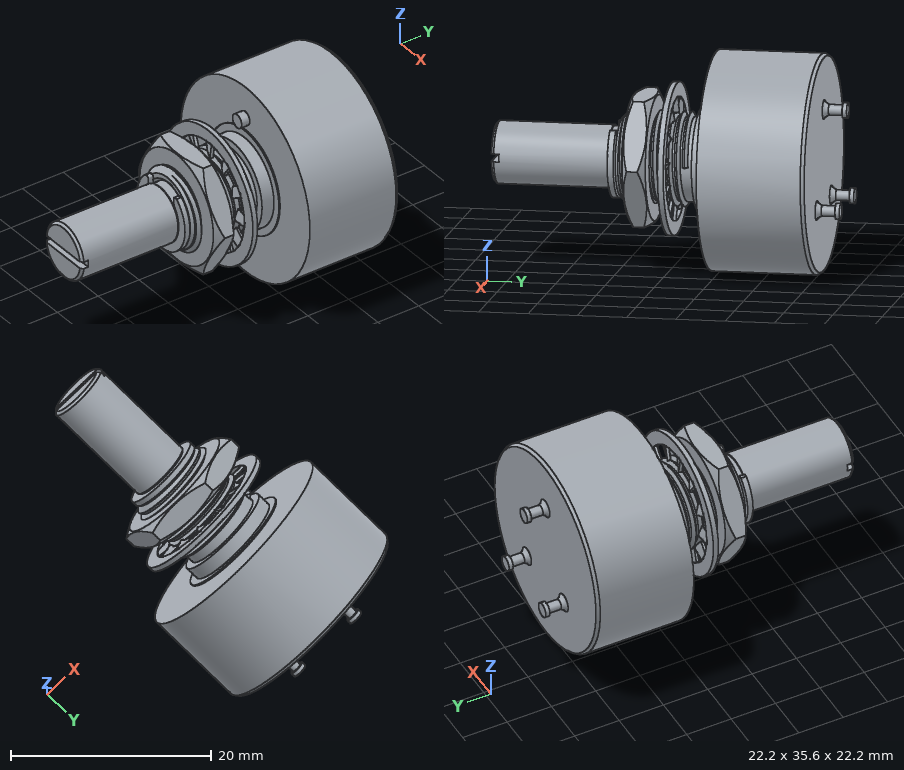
import cadquery as cq
import math


TOTAL_LENGTH = 35.65
OVERLAP = 0.07

BODY_DIAMETER = 22.2
BODY_RADIUS = BODY_DIAMETER / 2
BODY_LENGTH = 10.9
BODY_CHAMFER_HEIGHT = 0.35
BODY_CHAMFER_INSET = 0.25
PIN_RADIUS = 0.8
PIN_LENGTH = 1.0
PIN_OFFSET = 7.38

TERMINAL_LENGTH = 2.42
TERMINAL_ANGLES = (90, 225, 315)
TERMINAL_CIRCLE_RADIUS = 5.55
STEM_RADIUS = 0.55
FLARE_RADIUS = 0.95
FLARE_HEIGHT = 0.55
HEAD_RADIUS = 0.8
HEAD_HEIGHT = 0.45

DISC_RADIUS = 6.0
DISC_TOP = 0.15
COLLAR_RADIUS = 5.15
COLLAR_TOP = 1.6
NECK_RADIUS = 4.28
NECK_TOP = 9.55
NECK_END_RADIUS = 3.95
BORE_RADIUS = 3.42

CREST_RADIUS = 4.78
THREAD_START = 2.4
THREAD_TURNS = 9
THREAD_PITCH = (NECK_TOP - THREAD_START) / THREAD_TURNS
FLANK_HALF_ANGLE = 30

WASHER_RADIUS = 7.7
WASHER_BOTTOM = 4.0
WASHER_THICKNESS = 0.57
WASHER_HOLE_RADIUS = 6.25
TOOTH_COUNT = 12
TOOTH_WIDTH = 1.2
TOOTH_THICKNESS = 0.35
TOOTH_TIP_RADIUS = 4.65
TOOTH_ROOT_TWIST = 8
TOOTH_TIP_TWIST = 24

NUT_FLATS = 12.8
NUT_BOTTOM = 6.05
NUT_HEIGHT = 2.35
NUT_FACE_RADIUS = 6.3
NUT_CHAMFER_ANGLE = 30

SHAFT_RADIUS = 3.17
RELIEF_RADIUS = 3.05
RELIEF_TOP = 10.45
SHAFT_TOP = TOTAL_LENGTH - BODY_LENGTH - TERMINAL_LENGTH
SHAFT_CHAMFER = 0.3
SLOT_WIDTH = 0.8
SLOT_DEPTH = 0.82

RING_RADIUS = 4.15
RING_BOTTOM = 9.75
RING_TOP = 10.35
RING_OPENING = 4.35
RING_END_HEIGHT = 3.15
RING_END_FILLET = 0.2


def cylinder(radius, bottom, top):
    return cq.Workplane("XY").workplane(offset=bottom).circle(radius).extrude(top - bottom)


def revolve_profile(points):
    """Turn a closed (radius, height) outline around the Z axis."""
    return cq.Workplane("XZ").polyline(points).close().revolve(360, (0, 0, 0), (0, 1, 0))


def make_housing():
    housing = revolve_profile([
        (0, 0),
        (BODY_RADIUS, 0),
        (BODY_RADIUS, BODY_CHAMFER_HEIGHT - BODY_LENGTH),
        (BODY_RADIUS - BODY_CHAMFER_INSET, -BODY_LENGTH),
        (0, -BODY_LENGTH),
    ])
    pin = cylinder(PIN_RADIUS, -OVERLAP, PIN_LENGTH).translate((0, PIN_OFFSET, 0))
    return housing.union(pin)


def make_terminal():
    """One stud along -Z with a concave flared foot and a flat head, foot at Z = 0."""
    flare_middle = (
        STEM_RADIUS + (FLARE_RADIUS - STEM_RADIUS) / 3,
        -FLARE_HEIGHT / 2,
    )
    return (
        cq.Workplane("XZ")
        .moveTo(0, OVERLAP)
        .lineTo(FLARE_RADIUS, OVERLAP)
        .lineTo(FLARE_RADIUS, 0)
        .threePointArc(flare_middle, (STEM_RADIUS, -FLARE_HEIGHT))
        .lineTo(STEM_RADIUS, HEAD_HEIGHT - TERMINAL_LENGTH)
        .lineTo(HEAD_RADIUS, HEAD_HEIGHT - TERMINAL_LENGTH)
        .lineTo(HEAD_RADIUS, -TERMINAL_LENGTH)
        .lineTo(0, -TERMINAL_LENGTH)
        .close()
        .revolve(360, (0, 0, 0), (0, 1, 0))
    )


def make_threaded_neck():
    """Neck with a right-hand V ridge, its end chamfered at 45 degrees and its bore mouth coned."""
    root_radius = NECK_RADIUS - OVERLAP
    half_base = (CREST_RADIUS - root_radius) * math.tan(math.radians(FLANK_HALF_ANGLE))
    helix = cq.Wire.makeHelix(THREAD_PITCH, NECK_TOP - THREAD_START, NECK_RADIUS)
    ridge = (
        cq.Workplane("XZ")
        .polyline([(root_radius, -half_base), (CREST_RADIUS, 0), (root_radius, half_base)])
        .close()
        .sweep(cq.Workplane(helix), isFrenet=True)
        .translate((0, 0, THREAD_START))
    )
    core = cylinder(NECK_RADIUS, 0, NECK_TOP + THREAD_PITCH)
    envelope_radius = CREST_RADIUS + OVERLAP
    envelope = revolve_profile([
        (0, 0),
        (envelope_radius, 0),
        (envelope_radius, NECK_TOP - (envelope_radius - NECK_END_RADIUS)),
        (NECK_END_RADIUS, NECK_TOP),
        (BORE_RADIUS, NECK_TOP),
        (RELIEF_RADIUS, NECK_TOP - (BORE_RADIUS - RELIEF_RADIUS)),
        (0, NECK_TOP - (BORE_RADIUS - RELIEF_RADIUS)),
    ])
    return core.union(ridge).intersect(envelope)


def make_bushing():
    disc = cylinder(DISC_RADIUS, -OVERLAP, DISC_TOP)
    collar = cylinder(COLLAR_RADIUS, -OVERLAP, COLLAR_TOP)
    return make_threaded_neck().union(disc).union(collar)


def make_tooth():
    """Twisted washer tooth along X, centred on Z = 0, its twist growing from root to tip."""
    tip = cq.Plane(origin=(TOOTH_TIP_RADIUS, 0, 0), xDir=(0, 1, 0), normal=(1, 0, 0))
    return (
        cq.Workplane(tip)
        .transformed(rotate=(0, 0, -TOOTH_TIP_TWIST))
        .rect(TOOTH_WIDTH, TOOTH_THICKNESS)
        .transformed(
            rotate=(0, 0, TOOTH_TIP_TWIST - TOOTH_ROOT_TWIST),
            offset=(0, 0, WASHER_HOLE_RADIUS + 2 * OVERLAP - TOOTH_TIP_RADIUS),
        )
        .rect(TOOTH_WIDTH, TOOTH_THICKNESS)
        .loft(ruled=True)
    )


def make_washer():
    washer_top = WASHER_BOTTOM + WASHER_THICKNESS
    washer = cylinder(WASHER_RADIUS, WASHER_BOTTOM, washer_top)
    washer = washer.cut(cylinder(WASHER_HOLE_RADIUS, WASHER_BOTTOM, washer_top))
    tooth = make_tooth().translate((0, 0, WASHER_BOTTOM + WASHER_THICKNESS / 2))
    for index in range(TOOTH_COUNT):
        angle = index * 360 / TOOTH_COUNT
        washer = washer.union(tooth.rotate((0, 0, 0), (0, 0, 1), angle))
    return washer


def make_nut():
    """Hexagon with corners on the X axis, chamfered on both faces."""
    corner_radius = NUT_FLATS / 2 / math.cos(math.pi / 6)
    corner_drop = (corner_radius - NUT_FACE_RADIUS) * math.tan(math.radians(NUT_CHAMFER_ANGLE))
    nut_top = NUT_BOTTOM + NUT_HEIGHT
    hexagon = (
        cq.Workplane("XY")
        .workplane(offset=NUT_BOTTOM)
        .polygon(6, 2 * corner_radius)
        .extrude(NUT_HEIGHT)
    )
    envelope = revolve_profile([
        (0, NUT_BOTTOM),
        (NUT_FACE_RADIUS, NUT_BOTTOM),
        (corner_radius, NUT_BOTTOM + corner_drop),
        (corner_radius, nut_top - corner_drop),
        (NUT_FACE_RADIUS, nut_top),
        (0, nut_top),
    ])
    return hexagon.intersect(envelope)


def make_shaft():
    shaft = revolve_profile([
        (0, COLLAR_TOP),
        (RELIEF_RADIUS, COLLAR_TOP),
        (RELIEF_RADIUS, RELIEF_TOP),
        (SHAFT_RADIUS, RELIEF_TOP),
        (SHAFT_RADIUS, SHAFT_TOP - SHAFT_CHAMFER),
        (SHAFT_RADIUS - SHAFT_CHAMFER, SHAFT_TOP),
        (0, SHAFT_TOP),
    ])
    slot = (
        cq.Workplane("XY")
        .box(2 * SHAFT_RADIUS, SLOT_WIDTH, SLOT_DEPTH, centered=(True, True, False))
        .translate((0, 0, SHAFT_TOP - SLOT_DEPTH))
    )
    return shaft.cut(slot)


def make_retaining_ring():
    """Ring open towards +Y, its two ends cut off square."""
    ring = cylinder(RING_RADIUS, RING_BOTTOM, RING_TOP)
    height = RING_TOP - RING_BOTTOM
    base = cq.Workplane("XY").workplane(offset=RING_BOTTOM)
    opening = base.center(0, RING_RADIUS / 2).rect(RING_OPENING, RING_RADIUS).extrude(height)
    end_trim = (
        base.center(0, RING_END_HEIGHT + RING_RADIUS / 2)
        .rect(2 * RING_RADIUS, RING_RADIUS)
        .extrude(height)
    )
    inner_corners = cq.selectors.BoxSelector(
        (-RING_OPENING / 2 - OVERLAP, RING_END_HEIGHT - OVERLAP, RING_BOTTOM),
        (RING_OPENING / 2 + OVERLAP, RING_END_HEIGHT + OVERLAP, RING_TOP),
    )
    ring = ring.cut(opening).cut(end_trim)
    return ring.edges("|Z").edges(inner_corners).fillet(RING_END_FILLET)


part = make_housing().union(make_bushing()).union(make_shaft())
part = part.union(make_washer()).union(make_nut()).union(make_retaining_ring())

for terminal_angle in TERMINAL_ANGLES:
    terminal = make_terminal().translate((TERMINAL_CIRCLE_RADIUS, 0, -BODY_LENGTH))
    part = part.union(terminal.rotate((0, 0, 0), (0, 0, 1), terminal_angle))

result = part.rotate((0, 0, 0), (1, 0, 0), 90)